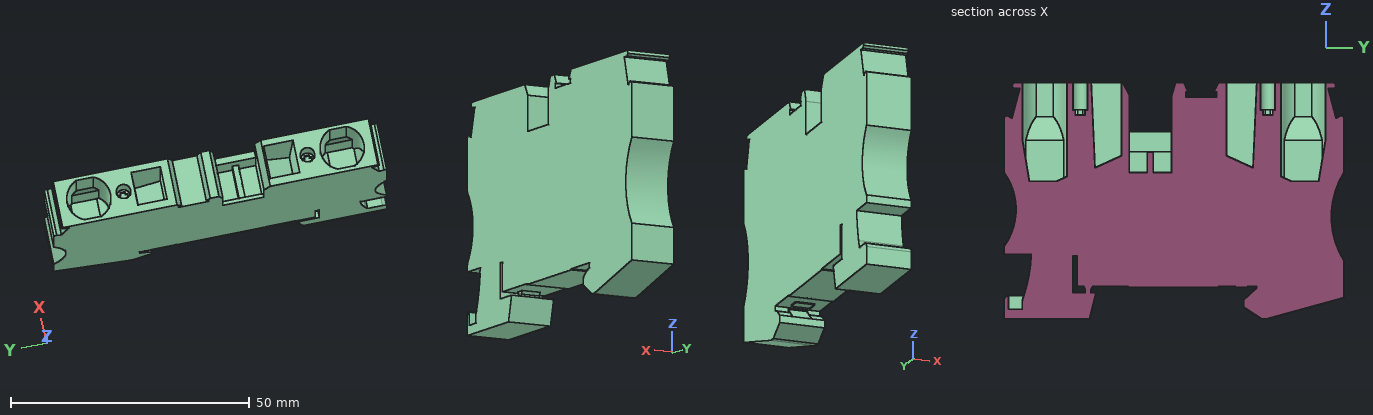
import cadquery as cq
WIDTH = 10.1
LENGTH = 71.35
HEIGHT = 49.6
HALF_WIDTH = WIDTH / 2
END = LENGTH / 2

LIP_TOP_Y = 33.75
LIP_TIP = (34.0, 48.8)
LIP_HEEL = (33.5, 48.3)
GROOVE_TOP = (32.4, 48.3)
GROOVE_BOTTOM = (34.0, 42.15)
SHOULDER_INNER = (35.0, 42.7)
SHOULDER_Z = 42.45

GRIP_TOP_Z = 30.7
REAR_GRIP_BOTTOM_Z = 12.3
REAR_GRIP_DEPTH = 2.65
FRONT_GRIP_BOTTOM_Z = 15.3
FRONT_GRIP_DEPTH = 2.5

RAIL_SEAT_Z = 6.85
SEAT_PAD_Z = 6.6
SEAT_PAD_Y = (9.4, -9.7)
REAR_SKIRT_Z = 4.4

HOOK_BASE_Y = (19.55, 18.3)
HOOK_NOSE_Z = 2.4
HOOK_TIP = (14.6, 4.1)
HOOK_BEND = (16.1, 5.4)
HOOK_ROOT_Y = 17.25
HOOK_ROOT_Z = 5.8
HOOK_RIB_ROOT_Z = 6.5
HOOK_RIB_WIDTH = 4.3
HOOK_PAD_Y = (12.85, 15.55)

RELIEF_Y = (-20.3, -21.2)
RELIEF_TOP_Z = 13.2
FOOT_TOP_Z = 5.5
FOOT_TIP_Y = -16.35
FOOT_TOE_Y = -17.7
PULL_TAB_Z = 4.9
PULL_TAB_RADIUS = 1.0
PULL_TAB_SLOT_DEPTH = 2.85
PULL_TAB_SLOT_HEEL_Z = 3.7
PULL_TAB_WALL = 1.7
NECK_TOP = (-29.95, 13.55)
NECK_MIDDLE = (-30.3, 10.0)
NECK_BEND = (-31.0, 6.6)
NECK_BOTTOM_Y = -31.5

POST_WIDTH = 4.3
POST_TOP_Y = (-17.0, -19.05)
POST_WAIST_Y = (-17.4, -18.6)
POST_WAIST_Z = 6.1

CHANNEL_Y = (-0.6, -9.35)
CHANNEL_MOUTH_Y = (0.3, -10.7)
CHANNEL_FLARE_Z = (46.65, 47.0)
CHANNEL_Z = 39.3
RECESS_X = (-4.3, 3.6)
RECESS_DEPTH = 4.3
POCKET_X = (-3.65, 3.6)
POCKET_DEPTH = 8.55
POCKET_RIB_Y = (-4.35, -5.65)

LABEL_MOUTH_Y = (2.15, 9.3)
LABEL_LIP_Y = (3.0, 8.3)
LABEL_WALL_Y = (2.5, 8.9)
LABEL_LIP_Z = 47.6
LABEL_FLOOR_Z = 46.6

WIRE_Y = 27.1
WIRE_RADIUS = 4.65
WIRE_FLAT_WIDTH = 8.55
WIRE_STRAIGHT_DEPTH = 7.1
WIRE_LEFT_TAPER_DEPTH = 5.0
WIRE_RIGHT_TAPER_DEPTH = 1.1
WIRE_OUTER_TAPER_DEPTH = 8.55
WIRE_INNER_TAPER_DEPTH = 1.0
WIRE_FLOOR_X = (-2.35, 3.65)
WIRE_FLOOR_Y = (24.7, 30.3)

SCREW_Y = 19.7
SCREW_RADIUS = 1.5
SCREW_DEPTH = 5.7
CROSS_SPAN = 2.0
CROSS_ARM = 1.0
CROSS_DEPTH = 1.1

RELEASE_X = (-3.4, 3.65)
RELEASE_Y = (11.05, 17.3)
RELEASE_FLOOR_Y = 16.55
RELEASE_DEPTH = 17.8
RELEASE_FLOOR_RISE = 2.5


def mirrored(point):
    """Return a (y, z) point moved to the opposite end of the part."""
    return (-point[0], point[1])


def side_plane(x):
    """YZ work plane at the given x, extruding towards +X."""
    return cq.Workplane("YZ", origin=(x, 0, 0))


def box(x_limits, y_limits, z_limits):
    """Axis-aligned box between pairs of limits given in any order."""
    lows = [min(pair) for pair in (x_limits, y_limits, z_limits)]
    sizes = [abs(pair[1] - pair[0]) for pair in (x_limits, y_limits, z_limits)]
    return cq.Workplane("XY").box(*sizes, centered=False).translate(tuple(lows))


def make_body():
    """Side profile, drawn from the rear upper corner, extruded over the width."""
    rear_grip_middle_z = (GRIP_TOP_Z + REAR_GRIP_BOTTOM_Z) / 2
    front_grip_middle_z = (GRIP_TOP_Z + FRONT_GRIP_BOTTOM_Z) / 2
    profile = (
        side_plane(-HALF_WIDTH)
        .moveTo(LIP_TOP_Y, HEIGHT)
        .lineTo(*LIP_TIP)
        .lineTo(*LIP_HEEL)
        .lineTo(*GROOVE_TOP)
        .lineTo(*GROOVE_BOTTOM)
        .lineTo(*SHOULDER_INNER)
        .lineTo(END, SHOULDER_Z)
        .lineTo(END, GRIP_TOP_Z)
        .threePointArc((END - REAR_GRIP_DEPTH, rear_grip_middle_z), (END, REAR_GRIP_BOTTOM_Z))
        .lineTo(END, REAR_SKIRT_Z)
        .lineTo(HOOK_BASE_Y[0], 0)
        .lineTo(HOOK_BASE_Y[1], 0)
        .lineTo(HOOK_TIP[0], HOOK_NOSE_Z)
        .lineTo(*HOOK_TIP)
        .lineTo(*HOOK_BEND)
        .lineTo(HOOK_ROOT_Y, HOOK_ROOT_Z)
        .lineTo(HOOK_ROOT_Y, RAIL_SEAT_Z)
        .lineTo(SEAT_PAD_Y[0], RAIL_SEAT_Z)
        .lineTo(SEAT_PAD_Y[0], SEAT_PAD_Z)
        .lineTo(SEAT_PAD_Y[1], SEAT_PAD_Z)
        .lineTo(SEAT_PAD_Y[1], RAIL_SEAT_Z)
        .lineTo(RELIEF_Y[0], RAIL_SEAT_Z)
        .lineTo(RELIEF_Y[0], RELIEF_TOP_Z)
        .lineTo(RELIEF_Y[1], RELIEF_TOP_Z)
        .lineTo(RELIEF_Y[1], FOOT_TOP_Z)
        .lineTo(FOOT_TIP_Y, FOOT_TOP_Z)
        .lineTo(FOOT_TOE_Y, 0)
        .lineTo(-END, 0)
        .lineTo(-END, PULL_TAB_Z - PULL_TAB_RADIUS)
        .radiusArc((-END + PULL_TAB_RADIUS, PULL_TAB_Z), PULL_TAB_RADIUS)
        .lineTo(NECK_BOTTOM_Y, PULL_TAB_Z)
        .lineTo(*NECK_BEND)
        .threePointArc(NECK_MIDDLE, NECK_TOP)
        .lineTo(-END, NECK_TOP[1])
        .lineTo(-END, FRONT_GRIP_BOTTOM_Z)
        .threePointArc((-END + FRONT_GRIP_DEPTH, front_grip_middle_z), (-END, GRIP_TOP_Z))
        .lineTo(-END, SHOULDER_Z)
        .lineTo(*mirrored(SHOULDER_INNER))
        .lineTo(*mirrored(GROOVE_BOTTOM))
        .lineTo(*mirrored(GROOVE_TOP))
        .lineTo(*mirrored(LIP_HEEL))
        .lineTo(*mirrored(LIP_TIP))
        .lineTo(-LIP_TOP_Y, HEIGHT)
        .lineTo(CHANNEL_MOUTH_Y[1], HEIGHT)
        .lineTo(CHANNEL_Y[1], CHANNEL_FLARE_Z[1])
        .lineTo(CHANNEL_Y[1], CHANNEL_Z)
        .lineTo(CHANNEL_Y[0], CHANNEL_Z)
        .lineTo(CHANNEL_Y[0], CHANNEL_FLARE_Z[0])
        .lineTo(CHANNEL_MOUTH_Y[0], HEIGHT)
        .lineTo(LABEL_MOUTH_Y[0], HEIGHT)
        .lineTo(LABEL_LIP_Y[0], LABEL_LIP_Z)
        .lineTo(LABEL_WALL_Y[0], LABEL_LIP_Z)
        .lineTo(LABEL_WALL_Y[0], LABEL_FLOOR_Z)
        .lineTo(LABEL_WALL_Y[1], LABEL_FLOOR_Z)
        .lineTo(LABEL_WALL_Y[1], LABEL_LIP_Z)
        .lineTo(LABEL_LIP_Y[1], LABEL_LIP_Z)
        .lineTo(LABEL_MOUTH_Y[1], HEIGHT)
        .close()
    )
    return profile.extrude(WIDTH)


def make_post():
    """Waisted post joining the spring foot to the rail seat."""
    outline = [
        (POST_TOP_Y[0], RAIL_SEAT_Z),
        (POST_WAIST_Y[0], POST_WAIST_Z),
        (POST_WAIST_Y[0], FOOT_TOP_Z),
        (POST_WAIST_Y[1], FOOT_TOP_Z),
        (POST_WAIST_Y[1], POST_WAIST_Z),
        (POST_TOP_Y[1], RAIL_SEAT_Z),
    ]
    return side_plane(-POST_WIDTH / 2).polyline(outline).close().extrude(POST_WIDTH)


def make_hook_rib():
    """Thicker middle of the fixed hook."""
    outline = [HOOK_TIP, HOOK_BEND, (HOOK_ROOT_Y, HOOK_ROOT_Z), (HOOK_ROOT_Y, HOOK_RIB_ROOT_Z)]
    return side_plane(-HOOK_RIB_WIDTH / 2).polyline(outline).close().extrude(HOOK_RIB_WIDTH)


def make_hook_pad():
    """Shallow pad on the rail seat facing the hook tip."""
    half_rib = HOOK_RIB_WIDTH / 2
    return box((-half_rib, half_rib), HOOK_PAD_Y, (SEAT_PAD_Z, RAIL_SEAT_Z))


def make_pull_tab_slot():
    """Screwdriver slot behind the pull tab lip, closed at -X and open at +X."""
    neck_slope = (NECK_BOTTOM_Y - NECK_BEND[0]) / (PULL_TAB_Z - NECK_BEND[1])
    heel_y = NECK_BOTTOM_Y + neck_slope * (PULL_TAB_SLOT_HEEL_Z - PULL_TAB_Z)
    lip_y = -END + PULL_TAB_RADIUS
    floor_z = PULL_TAB_Z - PULL_TAB_SLOT_DEPTH
    outline = [
        (NECK_BOTTOM_Y, PULL_TAB_Z),
        (heel_y, PULL_TAB_SLOT_HEEL_Z),
        (heel_y, floor_z),
        (lip_y, floor_z),
        (lip_y, PULL_TAB_Z),
    ]
    slot = side_plane(-HALF_WIDTH + PULL_TAB_WALL).polyline(outline).close()
    return slot.extrude(WIDTH - PULL_TAB_WALL)


def make_channel_recess():
    """Recess in the channel floor with two deeper pockets."""
    recess_floor = CHANNEL_Z - RECESS_DEPTH
    pocket_z = (CHANNEL_Z - POCKET_DEPTH, CHANNEL_Z)
    recess = box(RECESS_X, CHANNEL_Y, (recess_floor, CHANNEL_Z))
    for channel_wall, rib_wall in zip(CHANNEL_Y, POCKET_RIB_Y):
        recess = recess.union(box(POCKET_X, (channel_wall, rib_wall), pocket_z))
    return recess


def make_wire_entry():
    """Flat-sided round hole that narrows in X and then in Y to a rectangular floor."""
    straight_z = HEIGHT - WIRE_STRAIGHT_DEPTH
    side_taper_z = straight_z - WIRE_LEFT_TAPER_DEPTH
    floor_z = side_taper_z - WIRE_OUTER_TAPER_DEPTH
    half_flat = WIRE_FLAT_WIDTH / 2
    near_y = WIRE_Y - WIRE_RADIUS
    far_y = WIRE_Y + WIRE_RADIUS

    bore = (
        cq.Workplane("XY", origin=(0, WIRE_Y, floor_z))
        .circle(WIRE_RADIUS)
        .extrude(HEIGHT - floor_z)
        .intersect(box((-half_flat, half_flat), (near_y, far_y), (floor_z, HEIGHT)))
    )
    side_taper = (
        cq.Workplane("XZ", origin=(0, far_y, 0))
        .polyline([
            (-half_flat, HEIGHT),
            (-half_flat, straight_z),
            (WIRE_FLOOR_X[0], side_taper_z),
            (WIRE_FLOOR_X[0], floor_z),
            (WIRE_FLOOR_X[1], floor_z),
            (WIRE_FLOOR_X[1], side_taper_z),
            (half_flat, side_taper_z + WIRE_RIGHT_TAPER_DEPTH),
            (half_flat, HEIGHT),
        ])
        .close()
        .extrude(2 * WIRE_RADIUS)
    )
    end_taper = (
        side_plane(-half_flat)
        .polyline([
            (near_y, HEIGHT),
            (near_y, floor_z + WIRE_INNER_TAPER_DEPTH),
            (WIRE_FLOOR_Y[0], floor_z),
            (WIRE_FLOOR_Y[1], floor_z),
            (far_y, side_taper_z),
            (far_y, HEIGHT),
        ])
        .close()
        .extrude(WIRE_FLAT_WIDTH)
    )
    return bore.intersect(side_taper).intersect(end_taper)


def make_screw_hole():
    """Round hole ending on a screw head with a cross recess."""
    head_z = HEIGHT - SCREW_DEPTH
    hole = cq.Workplane("XY", origin=(0, SCREW_Y, head_z)).circle(SCREW_RADIUS).extrude(SCREW_DEPTH)
    cross = cq.Workplane("XY", origin=(0, SCREW_Y, head_z))
    for arm_x, arm_y in ((CROSS_SPAN, CROSS_ARM), (CROSS_ARM, CROSS_SPAN)):
        hole = hole.union(cross.rect(arm_x, arm_y).extrude(-CROSS_DEPTH))
    return hole


def make_release_slot():
    """Rectangular slot with a sloping floor and a slightly leaning outer wall."""
    bottom_z = HEIGHT - RELEASE_DEPTH
    outline = [
        (RELEASE_Y[0], HEIGHT),
        (RELEASE_Y[0], bottom_z + RELEASE_FLOOR_RISE),
        (RELEASE_FLOOR_Y, bottom_z),
        (RELEASE_Y[1], HEIGHT),
    ]
    return side_plane(RELEASE_X[0]).polyline(outline).close().extrude(RELEASE_X[1] - RELEASE_X[0])


result = make_body()
for addition in (make_post(), make_hook_rib(), make_hook_pad()):
    result = result.union(addition)
result = result.cut(make_pull_tab_slot()).cut(make_channel_recess())
for cutter in (make_wire_entry(), make_screw_hole(), make_release_slot()):
    result = result.cut(cutter).cut(cutter.mirror("XZ"))